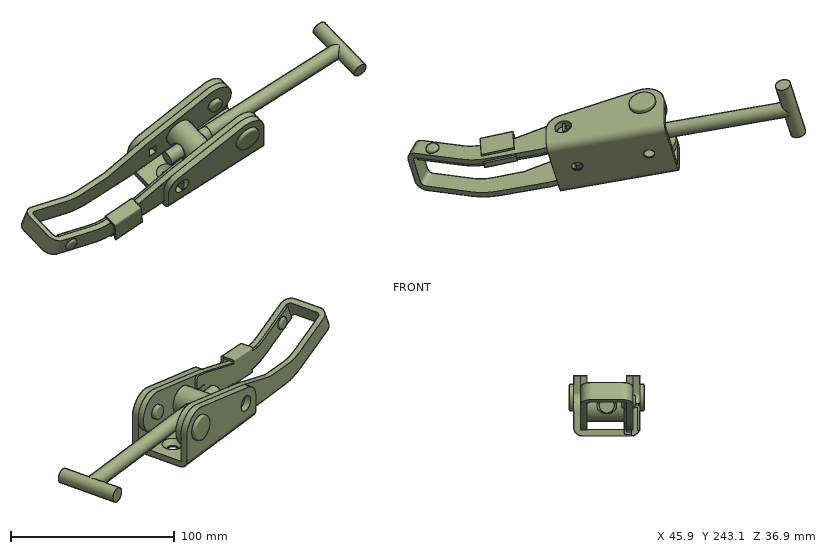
import cadquery as cq
import math


overall_length = 243.1

pivot_z = 23.5
pivot_radius = 13.4

housing_width = 40.5
housing_wall = 4.4
housing_floor = 4.1
housing_corner_radius = 5.3
lock_hole_y = -50.0
lock_hole_z = 15.5
lock_hole_radius = 5.0
nose_radius = 10.7
mount_hole_radius = 3.5
mount_sink_radius = 6.5
mount_hole_middle_y = -23.3
mount_hole_spacing = 45.2

arm_thickness = 4.0
lever_width = housing_width - 2 * housing_wall
lever_inner_width = lever_width - 2 * arm_thickness
lever_corner_radius = 6.8
lever_bottom_z = 3.6
lever_bottom_knee_y = -66.9
lever_top_knee = (-82.5, 17.3)
handle_bend = (-108.2, 16.5)
handle_angle = math.radians(23.5)
handle_length = 40.8
handle_depth = 11.5
handle_top_bend_radius = 29.2
handle_bottom_bend_radius = 42.5

slot_back_y = -45.2
slot_front_y = -50.3
slot_bottom_z = 11.7
slot_top_z = 18.5

pin_radius = 4.5
pin_inner_x = 9.0
pin_head_radius = 8.3
pin_head_height = 2.7
pin_edge_radius = 1.0

barrel_y = -27.7
barrel_z = 18.2
barrel_radius = 9.2
bolt_z = 18.7
bolt_diameter = 9.5
bolt_radius = bolt_diameter / 2
bolt_tip_relief = 0.12
bolt_tip_radius = bolt_radius - bolt_tip_relief
bolt_step_y = -14.3
bolt_tip_y = -46.0
bolt_bar_length = housing_width
barrel_sink_radius = 6.0

catch_thickness = 1.5
catch_bend_radius = 1.2
catch_back_y = -41.8
catch_corner_radius = 2.5
catch_window_back_y = -43.3
clip_middle_y = -91.7
clip_length = 20.7
clip_tilt_degrees = 3.0
clip_top_z = 19.5
clip_bottom_z = 1.5
clip_flap_bottom_z = 4.0
clip_foot_x = 15.0

catch_rivet_y = -133.2
catch_rivet_z = 21.2
catch_rivet_radius = 4.1
catch_rivet_head = 1.7
catch_rivet_edge_radius = 1.5

housing_half = housing_width / 2
lever_half = lever_width / 2
arm_inner_x = lever_inner_width / 2
catch_inner_x = arm_inner_x - catch_thickness
housing_front_y = lock_hole_y - nose_radius

slope_run = -lock_hole_y
slope_drop = pivot_z - lock_hole_z
slope_angle = math.atan2(slope_drop, slope_run) + math.asin(
    (pivot_radius - nose_radius) / math.hypot(slope_run, slope_drop)
)

handle_end_top = (
    handle_bend[0] - handle_length * math.cos(handle_angle),
    handle_bend[1] + handle_length * math.sin(handle_angle),
)
handle_end_bottom = (
    handle_end_top[0] - handle_depth * math.sin(handle_angle),
    handle_end_top[1] - handle_depth * math.cos(handle_angle),
)
bolt_back_y = handle_end_bottom[0] + overall_length


def on_circle(y, z, radius, angle):
    """Point on a circle, at an angle from +Z turned towards -Y."""
    return (y - radius * math.sin(angle), z + radius * math.cos(angle))


def prism(sketch, x_start, x_end):
    """Extrude a closed outline of the YZ plane from x_start to x_end."""
    return sketch.extrude(x_end - x_start).translate((x_start, 0, 0))


def x_cylinder(y, z, radius, x_start, x_end):
    return prism(cq.Workplane("YZ").center(y, z).circle(radius), x_start, x_end)


def cone(radius, base_center, direction):
    """90 degree countersink cone that narrows from its base along direction."""
    return cq.Workplane(
        cq.Solid.makeCone(radius, 0, radius, pnt=cq.Vector(*base_center), dir=cq.Vector(*direction))
    )


def yz_box(y_start, y_end, z_start, z_end, x_start, x_end):
    outline = [(y_start, z_start), (y_end, z_start), (y_end, z_end), (y_start, z_end)]
    return prism(cq.Workplane("YZ").polyline(outline).close(), x_start, x_end)


slope_start = on_circle(0, pivot_z, pivot_radius, slope_angle)
slope_end = on_circle(lock_hole_y, lock_hole_z, nose_radius, slope_angle)


def make_housing():
    nose_middle = on_circle(lock_hole_y, lock_hole_z, nose_radius, (slope_angle + math.pi / 2) / 2)
    pivot_middle = on_circle(0, pivot_z, pivot_radius, (slope_angle - math.pi / 2) / 2)
    side = (
        cq.Workplane("YZ")
        .moveTo(housing_front_y, 0)
        .lineTo(pivot_radius, 0)
        .lineTo(pivot_radius, pivot_z)
        .threePointArc(pivot_middle, slope_start)
        .lineTo(*slope_end)
        .threePointArc(nose_middle, (housing_front_y, lock_hole_z))
        .close()
    )
    body = prism(side, -housing_half, housing_half)
    body = body.edges("|Y and <Z").fillet(housing_corner_radius)
    body = body.cut(
        yz_box(
            housing_front_y, pivot_radius, housing_floor, pivot_z + pivot_radius, -lever_half, lever_half
        )
    )
    body = body.cut(x_cylinder(0, pivot_z, pin_radius, -housing_half, housing_half))
    body = body.cut(x_cylinder(lock_hole_y, lock_hole_z, lock_hole_radius, -housing_half, housing_half))
    half_spacing = mount_hole_spacing / 2
    for y in (mount_hole_middle_y - half_spacing, mount_hole_middle_y + half_spacing):
        floor_top = cq.Workplane("XY", origin=(0, y, housing_floor))
        drill = floor_top.circle(mount_hole_radius).extrude(-housing_floor)
        sink = cone(mount_sink_radius, (0, y, housing_floor), (0, 0, -1))
        body = body.cut(drill).cut(sink)
    return body


def lever_side(x_start, x_end):
    """Full side outline of the lever as a plate, with the handle bends rounded."""
    lower_bend_y = handle_end_bottom[0] + (handle_end_bottom[1] - lever_bottom_z) / math.tan(handle_angle)
    knee_run = -lever_bottom_knee_y
    knee_drop = pivot_z - lever_bottom_z
    knee_distance = math.hypot(knee_run, knee_drop)
    knee_direction = math.atan2(knee_run, -knee_drop)
    underside_angle = knee_direction + math.acos(pivot_radius / knee_distance)
    underside_start = on_circle(0, pivot_z, pivot_radius, underside_angle)
    outline = (
        cq.Workplane("YZ")
        .moveTo(*slope_start)
        .lineTo(*slope_end)
        .lineTo(*lever_top_knee)
        .lineTo(*handle_bend)
        .lineTo(*handle_end_top)
        .lineTo(*handle_end_bottom)
        .lineTo(lower_bend_y, lever_bottom_z)
        .lineTo(lever_bottom_knee_y, lever_bottom_z)
        .lineTo(*underside_start)
        .threePointArc((pivot_radius, pivot_z), slope_start)
        .close()
    )
    plate = prism(outline, x_start, x_end)
    middle_x = (x_start + x_end) / 2
    plate = plate.edges(cq.selectors.NearestToPointSelector((middle_x, *handle_bend))).fillet(
        handle_top_bend_radius
    )
    lower_bend = (middle_x, lower_bend_y, lever_bottom_z)
    return plate.edges(cq.selectors.NearestToPointSelector(lower_bend)).fillet(handle_bottom_bend_radius)


def behind_handle_end(inset, x_start, x_end):
    """Block of everything further than inset behind the handle's end face."""
    reach = overall_length
    along = (math.cos(handle_angle), -math.sin(handle_angle))
    across = (math.sin(handle_angle), math.cos(handle_angle))
    start = (handle_end_top[0] + inset * along[0], handle_end_top[1] + inset * along[1])
    corners = [
        (
            start[0] + far * reach * along[0] + side * reach * across[0],
            start[1] + far * reach * along[1] + side * reach * across[1],
        )
        for far, side in [(0, -1), (1, -1), (1, 1), (0, 1)]
    ]
    return prism(cq.Workplane("YZ").polyline(corners).close(), x_start, x_end)


def make_lever():
    body = lever_side(-lever_half, lever_half)
    end_middle = (
        (handle_end_top[0] + handle_end_bottom[0]) / 2,
        (handle_end_top[1] + handle_end_bottom[1]) / 2,
    )
    for x in (-lever_half, lever_half):
        corner = cq.selectors.NearestToPointSelector((x, *end_middle))
        body = body.edges(corner).fillet(lever_corner_radius)
    opening = behind_handle_end(arm_thickness, -arm_inner_x, arm_inner_x)
    opening = opening.faces("<Y").edges("not |X").fillet(lever_corner_radius - arm_thickness)
    body = body.cut(opening)
    body = body.cut(x_cylinder(0, pivot_z, pin_radius, -lever_half, lever_half))
    body = body.cut(
        yz_box(slot_front_y, slot_back_y, slot_bottom_z, slot_top_z, -lever_half, lever_half)
    )
    return body.cut(x_cylinder(catch_rivet_y, catch_rivet_z, catch_rivet_radius, 0, lever_half))


def make_pin(side):
    """Headed pivot pin; side is -1 or +1 for the -X or +X wall."""
    shank = x_cylinder(0, pivot_z, pin_radius, pin_inner_x, housing_half)
    shank = shank.faces("<X").edges().fillet(pin_edge_radius)
    head = x_cylinder(0, pivot_z, pin_head_radius, housing_half, housing_half + pin_head_height)
    head = head.faces(">X").edges().fillet(pin_edge_radius)
    pin = shank.union(head)
    return pin if side > 0 else pin.mirror("YZ")


def bolt_shaft(radius, y_start, y_end):
    """Cylinder along Y on the bolt axis."""
    disc = cq.Workplane("XZ", origin=(0, y_end, bolt_z)).circle(radius)
    return disc.extrude(y_end - y_start)


def make_bolt():
    bar_y = bolt_back_y - bolt_radius
    bar = x_cylinder(bar_y, bolt_z, bolt_radius, -bolt_bar_length / 2, bolt_bar_length / 2)
    rod = bolt_shaft(bolt_radius, bolt_step_y, bar_y)
    tip = bolt_shaft(bolt_tip_radius, bolt_tip_y, bolt_step_y)
    return bar.union(rod).union(tip)


def make_barrel():
    """Cross barrel with a countersunk hole for the bolt."""
    body = x_cylinder(barrel_y, barrel_z, barrel_radius, -arm_inner_x, arm_inner_x)
    body = body.cut(bolt_shaft(bolt_tip_radius, barrel_y - barrel_radius, barrel_y + barrel_radius))
    mouth = cone(barrel_sink_radius, (0, barrel_y - barrel_radius, bolt_z), (0, 1, 0))
    return body.cut(mouth)


def make_clip():
    """Sheet section that wraps over and under the arm, tilted to follow its top edge."""
    flap_inner_x = housing_half - catch_thickness
    section = [
        (catch_inner_x, clip_bottom_z),
        (clip_foot_x, clip_bottom_z),
        (clip_foot_x, clip_bottom_z + catch_thickness),
        (arm_inner_x, clip_bottom_z + catch_thickness),
        (arm_inner_x, clip_top_z - catch_thickness),
        (flap_inner_x, clip_top_z - catch_thickness),
        (flap_inner_x, clip_flap_bottom_z),
        (housing_half, clip_flap_bottom_z),
        (housing_half, clip_top_z),
        (catch_inner_x, clip_top_z),
    ]
    clip = cq.Workplane("XZ").polyline(section).close().extrude(clip_length / 2, both=True)
    middle_z = (clip_bottom_z + clip_top_z) / 2
    clip = clip.translate((0, clip_middle_y, 0))
    clip = clip.edges("|Y").edges("<X or (>X and >Z)").fillet(catch_bend_radius)
    return clip.rotate((0, clip_middle_y, middle_z), (1, clip_middle_y, middle_z), clip_tilt_degrees)


def make_catch():
    strip = lever_side(catch_inner_x, arm_inner_x)
    strip = strip.intersect(behind_handle_end(lever_corner_radius, catch_inner_x, arm_inner_x))
    strip = strip.intersect(
        yz_box(-overall_length, catch_back_y, 0, overall_length, catch_inner_x, arm_inner_x)
    )
    strip = strip.edges("|X").edges(">(0, 1, 1)").fillet(catch_corner_radius)
    strip = strip.cut(
        yz_box(slot_front_y, catch_window_back_y, slot_bottom_z, slot_top_z, catch_inner_x, arm_inner_x)
    )
    tongue = yz_box(
        slot_front_y, slot_front_y + catch_thickness, slot_bottom_z, slot_top_z, catch_inner_x, housing_half
    )
    body = strip.union(tongue).union(make_clip())
    bend = cq.selectors.NearestToPointSelector(
        (catch_inner_x, slot_front_y + catch_thickness, (slot_bottom_z + slot_top_z) / 2)
    )
    body = body.edges(bend).fillet(catch_bend_radius)
    return body.cut(x_cylinder(catch_rivet_y, catch_rivet_z, catch_rivet_radius, 0, lever_half))


def make_catch_rivet():
    rivet = x_cylinder(
        catch_rivet_y,
        catch_rivet_z,
        catch_rivet_radius,
        catch_inner_x - catch_rivet_head,
        lever_half + catch_rivet_head,
    )
    return rivet.edges("%CIRCLE").fillet(catch_rivet_edge_radius)


housing = make_housing()
lever = make_lever()
pins = [make_pin(side) for side in (-1, 1)]
barrel = make_barrel()
bolt = make_bolt()
catch = make_catch()
catch_rivet = make_catch_rivet()

result = cq.Compound.makeCompound(
    [
        *housing.solids().vals(),
        *lever.solids().vals(),
        *[pin.solids().val() for pin in pins],
        *barrel.solids().vals(),
        *bolt.solids().vals(),
        *catch.solids().vals(),
        *catch_rivet.solids().vals(),
    ]
)